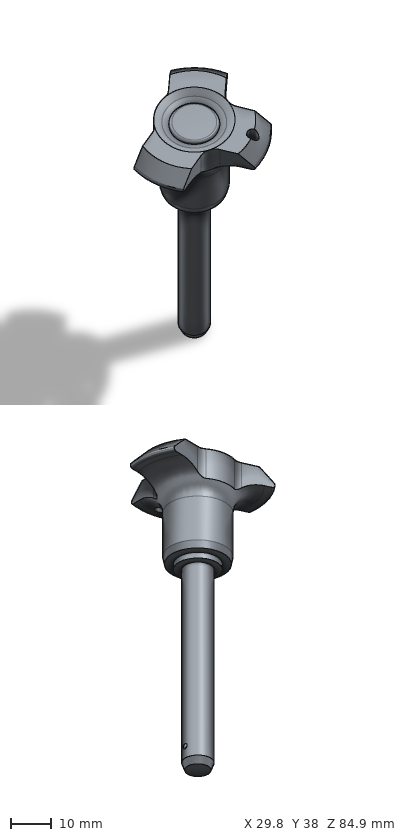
import cadquery as cq
import math

top_z = 84.9
wing_thickness = 5.0
flare_bottom_z = 72.25
sleeve_bottom_z = 57.9
collar_height = 1.6
taper_height = 2.0

shank_radius = 4.0
tip_radius = 3.2
collar_radius = 6.0
sleeve_radius = 8.7
sleeve_end_radius = 8.2

wing_reach = 19.0
wing_half_width = 7.0
wing_angles = (0, 103, -103)
hub_radius = 10.0
front_web_fillet = 4.1
back_web_fillet = 3.6
rim_fillet = 0.8

lanyard_hole_diameter = 3.0
lanyard_hole_x = 15.0

bowl_edge_radius = 8.0
bowl_edge_depth = 1.0
button_radius = 6.3
button_top_radius = 5.5
button_crown = 0.2

ball_radius = 0.8
ball_offset = 3.65
ball_z = 5.35

wing_bottom_z = top_z - wing_thickness
bowl_edge_z = top_z - bowl_edge_depth


def add_bowl_and_button(profile):
    """Draw the crowned button, the spherical bowl floor and the dish cone, from the axis outward."""
    cone_slope = math.atan2(bowl_edge_depth, hub_radius - bowl_edge_radius)
    bowl_sphere_radius = bowl_edge_radius / math.sin(cone_slope)
    bowl_centre_z = bowl_edge_z + bowl_sphere_radius * math.cos(cone_slope)

    def bowl_z(radius):
        return bowl_centre_z - math.sqrt(bowl_sphere_radius**2 - radius**2)

    crown_middle = (button_top_radius / 2, bowl_edge_z + button_crown * 3 / 4)
    edge_round = button_radius - button_top_radius
    edge_middle = (
        button_top_radius + edge_round * math.sin(math.pi / 4),
        bowl_edge_z - edge_round * (1 - math.cos(math.pi / 4)),
    )
    bowl_middle_radius = (button_radius + bowl_edge_radius) / 2
    return (
        profile.threePointArc(crown_middle, (button_top_radius, bowl_edge_z))
        .threePointArc(edge_middle, (button_radius, bowl_edge_z - edge_round))
        .lineTo(button_radius, bowl_z(button_radius))
        .threePointArc((bowl_middle_radius, bowl_z(bowl_middle_radius)), (bowl_edge_radius, bowl_edge_z))
        .lineTo(hub_radius, top_z)
    )


def add_wing_rim(profile):
    """Draw the 45 degree rim cone, its rounded lip and the underside out to the flare."""
    lip_centre_r = wing_reach - rim_fillet
    lip_centre_z = wing_bottom_z + rim_fillet
    half_diagonal = rim_fillet * math.sin(math.pi / 4)
    cone_top_r = lip_centre_r + 2 * half_diagonal - (top_z - lip_centre_z)
    return (
        profile.lineTo(cone_top_r, top_z)
        .lineTo(lip_centre_r + half_diagonal, lip_centre_z + half_diagonal)
        .threePointArc(
            (lip_centre_r + half_diagonal, lip_centre_z - half_diagonal),
            (lip_centre_r, wing_bottom_z),
        )
    )


def turned_body():
    """Pin, collar, sleeve and undivided handle as one revolved solid."""
    flare_radius = wing_bottom_z - flare_bottom_z
    flare_centre_r = sleeve_radius + flare_radius
    flare_middle = (
        flare_centre_r - flare_radius * math.cos(math.pi / 4),
        flare_bottom_z + flare_radius * math.sin(math.pi / 4),
    )
    collar_bottom_z = sleeve_bottom_z - collar_height

    profile = cq.Workplane("XZ").moveTo(0, bowl_edge_z + button_crown)
    profile = add_bowl_and_button(profile)
    profile = add_wing_rim(profile)
    return (
        profile.lineTo(flare_centre_r, wing_bottom_z)
        .threePointArc(flare_middle, (sleeve_radius, flare_bottom_z))
        .lineTo(sleeve_radius, sleeve_bottom_z + taper_height)
        .lineTo(sleeve_end_radius, sleeve_bottom_z)
        .lineTo(collar_radius, sleeve_bottom_z)
        .lineTo(collar_radius, collar_bottom_z)
        .lineTo(shank_radius, collar_bottom_z)
        .lineTo(shank_radius, taper_height)
        .lineTo(tip_radius, 0)
        .lineTo(0, 0)
        .close()
        .revolve(360, (0, 0, 0), (0, 1, 0))
    )


def wing_plan():
    """Prism of the handle plan: three straight-sided wings blended into a round hub."""
    blank_reach = 2 * wing_reach
    wing = cq.Workplane("XY").box(
        blank_reach, 2 * wing_half_width, top_z, centered=(False, True, False)
    )
    plan = cq.Workplane("XY")
    for angle in wing_angles:
        plan = plan.union(wing.rotate((0, 0, 0), (0, 0, 1), angle))

    half_gap = math.radians(wing_angles[1] / 2)
    corner_distance = wing_half_width / math.sin(half_gap)
    for side in (1, -1):
        corner = (
            corner_distance * math.cos(half_gap),
            side * corner_distance * math.sin(half_gap),
            top_z / 2,
        )
        plan = plan.edges(cq.selectors.NearestToPointSelector(corner)).fillet(front_web_fillet)

    plan = plan.union(cq.Workplane("XY").circle(hub_radius).extrude(top_z))

    back_angle = math.radians(wing_angles[1]) + math.asin(wing_half_width / hub_radius)
    for side in (1, -1):
        corner = (
            hub_radius * math.cos(back_angle),
            side * hub_radius * math.sin(back_angle),
            top_z / 2,
        )
        plan = plan.edges(cq.selectors.NearestToPointSelector(corner)).fillet(back_web_fillet)
    return plan


def lanyard_hole():
    return (
        cq.Workplane("XY", origin=(lanyard_hole_x, 0, 0))
        .circle(lanyard_hole_diameter / 2)
        .extrude(top_z)
    )


locking_ball = cq.Workplane("XY", origin=(0, ball_offset, ball_z)).sphere(ball_radius)

result = turned_body().intersect(wing_plan()).cut(lanyard_hole()).union(locking_ball)